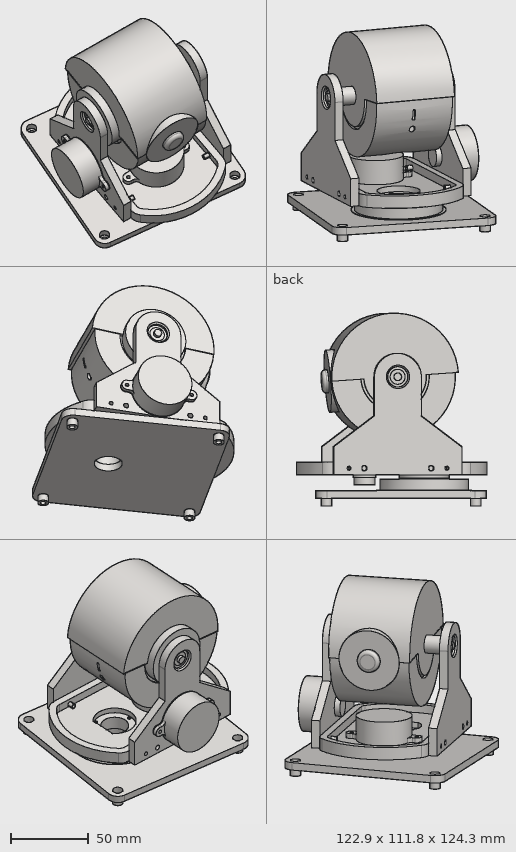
import cadquery as cq
import math

pan_angle = 5.5
tilt_angle = 4.0

plate_size = 110.2
plate_thickness = 5.0
plate_offset = 14.9
plate_corner = 7.3
foot_height = 5.0
foot_diameter = 7.0
foot_spacing = 96.2
screw_hole = 3.6
screw_head = 6.5
screw_head_depth = 5.0

bore = 18.0
flange_diameter = 61.3
flange_thickness = 0.4
hub_diameter = 57.2
hub_top = 17.4
neck_diameter = 32.3
neck_top = 17.9
spigot_diameter = 27.9
spigot_flat = 10.3
spigot_top = 18.9
hub_screw_hole = 2.2
hub_screw_radius = 12.7
hub_screw_depth = 0.6

platform_bottom = 20.0
platform_top = 28.2
platform_x = 21.0
platform_arc = 47.6
platform_arc_offset = 13.9
platform_depth = 72.6
rim = 5.0
pocket_floor = 22.6
outer_corner = 10.0
inner_corner = 5.0

motor_diameter = 36.0
motor_height = 15.9
ear_spacing = 43.5
ear_width = 7.0
ear_thickness = 3.2
ear_blend = 3.1
ear_hole = 2.2
motor_boss = 14.7
motor_boss_length = 4.4
motor_pinion = 13.7
motor_nose_length = 9.0
pan_motor_x = 38.7
tilt_motor_seat = 0.6

bracket_thickness = 5.7
bracket_width = 83.0
bracket_shoulder = 38.3
bracket_neck = 58.2
bracket_head = 15.2
tilt_axis = 83.3
tilt_motor_height = 38.4
bearing_hole = 9.7
bearing_recess = 13.0
bearing_recess_rim = 15.0
bearing_recess_depth = 2.5
bearing_chamfer_depth = 1.0
peg_diameter = 3.4
peg_hole = 2.5
peg_reach = 3.7
peg_spacing = 63.4
dowel_hole = 3.4
dowel_spacing = 43.3
fastener_height = 24.4

barrel_front = -30.7
barrel_back = 23.5
upper_radius = 41.0
lower_radius = 40.0
clearance_radius = 22.1
clearance_depth = 2.5
hub_disc_diameter = 40.5
lower_setback = 0.6
rear_shaft = 11.8
rear_shaft_gap = 1.2
stub_diameter = 5.0
stub_length = 2.0
cable_hole = 23.6
cable_hole_top = -34.8
side_hole = 4.0
side_hole_z = -19.8
slot_length = 7.0
slot_width = 1.7
slot_z = -10.1
side_cut_depth = 2.5

camera_diameter = 40.3
camera_back = 32.3
camera_face = 41.3
lens_diameter = 15.0
lens_front = 45.0
lens_round = 2.5

plate_top = foot_height + plate_thickness
bracket_inner = platform_depth / 2
bracket_outer = bracket_inner + bracket_thickness
front_outer = -bracket_outer
front_inner = -bracket_inner
barrel_middle = (barrel_front + barrel_back) / 2
barrel_length = barrel_back - barrel_front


def cylinder(diameter, bottom, top, x=0, y=0):
    """Upright cylinder between two heights."""
    return cq.Workplane("XY", origin=(x, y, bottom)).circle(diameter / 2).extrude(top - bottom)


def cylinder_y(diameter, start, end, x=0, z=0):
    """Cylinder along Y between two Y positions."""
    return cq.Workplane("XZ", origin=(x, start, z)).circle(diameter / 2).extrude(start - end)


def cylinder_x(diameter, start, end, y=0, z=0):
    """Cylinder along X between two X positions."""
    return cq.Workplane("YZ", origin=(start, y, z)).circle(diameter / 2).extrude(end - start)


def pan(body):
    """Turn a body with the pan axis."""
    return body.rotate((0, 0, 0), (0, 0, 1), pan_angle)


def tilt(body):
    """Put a body of the barrel on the tilted tilt axis, then turn it with the pan axis."""
    turned = body.rotate((0, 0, 0), (0, 1, 0), tilt_angle)
    return pan(turned.translate((platform_x, 0, tilt_axis)))


def make_base_plate():
    centre = (plate_offset, 0)
    plate = (
        cq.Workplane("XY", origin=(*centre, foot_height))
        .rect(plate_size, plate_size)
        .extrude(plate_thickness)
        .edges("|Z")
        .fillet(plate_corner)
    )
    feet = (
        cq.Workplane("XY", origin=(*centre, 0))
        .rect(foot_spacing, foot_spacing, forConstruction=True)
        .vertices()
        .circle(foot_diameter / 2)
        .extrude(foot_height)
    )
    plate = (
        plate.union(feet)
        .faces(">Z")
        .workplane(origin=(*centre, plate_top))
        .rect(foot_spacing, foot_spacing, forConstruction=True)
        .vertices()
        .cboreHole(screw_hole, screw_head, screw_head_depth)
    )
    return plate.cut(cylinder(bore, 0, plate_top))


def d_shape(bottom, top):
    """Round plug on the pan axis with a flat on its -X side."""
    plug = cylinder(spigot_diameter, bottom, top)
    half = cq.Workplane("XY", origin=(-spigot_flat, -spigot_diameter / 2, bottom)).rect(
        2 * spigot_diameter, spigot_diameter, centered=False
    )
    return plug.intersect(half.extrude(top - bottom))


def make_hub():
    hub = (
        cylinder(flange_diameter, plate_top, plate_top + flange_thickness)
        .union(cylinder(hub_diameter, plate_top, hub_top))
        .union(cylinder(neck_diameter, hub_top, neck_top))
        .union(d_shape(neck_top, spigot_top))
        .cut(cylinder(bore, plate_top, spigot_top))
    )
    screws = (
        cq.Workplane("XY", origin=(0, 0, spigot_top))
        .polarArray(hub_screw_radius, 0, 360, 3)
        .circle(hub_screw_hole / 2)
        .extrude(-hub_screw_depth)
    )
    return pan(hub.cut(screws))


def platform_outline(inset, corner, bottom, top):
    """Flat-sided plate with two round ends, drawn in from the outer outline by an inset."""
    height = top - bottom
    radius = platform_arc - inset
    half_depth = platform_depth / 2 - inset
    reach = platform_arc_offset + math.sqrt(radius**2 - half_depth**2)
    tip = platform_arc_offset + radius
    return (
        cq.Workplane("XY", origin=(platform_x, 0, bottom))
        .moveTo(-reach, -half_depth)
        .lineTo(reach, -half_depth)
        .threePointArc((tip, 0), (reach, half_depth))
        .lineTo(-reach, half_depth)
        .threePointArc((-tip, 0), (-reach, -half_depth))
        .close()
        .extrude(height)
        .edges("|Z")
        .fillet(corner)
    )


def fastener_row(diameter, spacing, start, end):
    """Two cylinders along Y, level with the platform and spaced about its centre."""
    left = cylinder_y(diameter, start, end, platform_x - spacing / 2, fastener_height)
    right = cylinder_y(diameter, start, end, platform_x + spacing / 2, fastener_height)
    return left.union(right)


def make_platform():
    platform = (
        platform_outline(0, outer_corner, platform_bottom, platform_top)
        .cut(platform_outline(rim, inner_corner, pocket_floor, platform_top))
        .union(cylinder(neck_diameter, neck_top, platform_bottom))
        .cut(d_shape(neck_top, pocket_floor))
        .cut(cylinder(motor_boss, platform_bottom, pocket_floor, pan_motor_x))
        .cut(fastener_row(peg_diameter, peg_spacing, front_inner, front_inner + rim))
        .cut(fastener_row(peg_diameter, peg_spacing, bracket_inner - rim, bracket_inner))
    )
    return pan(platform)


def make_motor():
    """Motor standing on Z = 0 with its nose pointing down and its ears along Y."""
    can = cylinder(motor_diameter, 0, motor_height)
    slot = (
        cq.Workplane("XY").slot2D(ear_spacing + ear_width, ear_width, 90).extrude(ear_thickness)
    )
    roots = cq.selectors.BoxSelector(
        (-ear_width, -ear_spacing / 2 + ear_width / 4, -1.2),
        (ear_width, ear_spacing / 2 - ear_width / 4, ear_thickness + 1.2),
    )
    ears = cylinder(motor_diameter, 0, ear_thickness).union(slot).edges("|Z").edges(roots)
    ears = ears.fillet(ear_blend)
    ear_holes = (
        cq.Workplane("XY")
        .pushPoints([(0, -ear_spacing / 2), (0, ear_spacing / 2)])
        .circle(ear_hole / 2)
        .extrude(ear_thickness)
    )
    return (
        can.union(ears.cut(ear_holes))
        .union(cylinder(motor_boss, -motor_boss_length, 0))
        .union(cylinder(motor_pinion, -motor_nose_length, 0))
    )


def make_pan_motor():
    return pan(make_motor().translate((pan_motor_x, 0, pocket_floor)))


def make_tilt_motor():
    lying = make_motor().rotate((0, 0, 0), (0, 0, 1), 90).rotate((0, 0, 0), (1, 0, 0), 90)
    return pan(lying.translate((platform_x, front_outer + tilt_motor_seat, tilt_motor_height)))


def make_bracket(side):
    """Upright beside the platform: side is -1 at the front and +1 at the back."""
    outer = side * bracket_outer
    inner = side * bracket_inner
    half = bracket_width / 2
    body = (
        cq.Workplane("XZ", origin=(platform_x, inner, 0))
        .moveTo(-half, platform_bottom)
        .lineTo(half, platform_bottom)
        .lineTo(half, bracket_shoulder)
        .lineTo(bracket_head, bracket_neck)
        .lineTo(bracket_head, tilt_axis)
        .threePointArc((0, tilt_axis + bracket_head), (-bracket_head, tilt_axis))
        .lineTo(-bracket_head, bracket_neck)
        .lineTo(-half, bracket_shoulder)
        .close()
        .extrude(-side * bracket_thickness)
    )
    recess_floor = outer - side * bearing_recess_depth
    cone = (
        cq.Workplane("XZ", origin=(platform_x, outer, tilt_axis))
        .circle(bearing_recess_rim / 2)
        .workplane(offset=side * bearing_chamfer_depth)
        .circle(bearing_recess / 2)
        .loft()
    )
    peg_end = inner - side * (rim + peg_reach)
    return (
        body.cut(cylinder_y(bearing_hole, inner, outer, platform_x, tilt_axis))
        .cut(cylinder_y(bearing_recess, recess_floor, outer, platform_x, tilt_axis))
        .cut(cone)
        .cut(fastener_row(dowel_hole, dowel_spacing, inner, outer))
        .union(fastener_row(peg_diameter, peg_spacing, peg_end, outer))
        .cut(fastener_row(peg_hole, peg_spacing, peg_end, outer))
    )


def make_front_bracket():
    """Front bracket with a seat that matches the tilt motor."""
    return pan(make_bracket(-1)).cut(make_tilt_motor())


def make_back_bracket():
    return pan(make_bracket(1))


def half_barrel(radius, centre_x, upper, setback=0):
    """Upper or lower half of a cylinder along the tilt axis."""
    end_x = centre_x + radius
    crown = radius if upper else -radius
    return (
        cq.Workplane("XZ", origin=(0, barrel_front + setback, 0))
        .moveTo(centre_x - radius, 0)
        .threePointArc((centre_x, crown), (end_x, 0))
        .close()
        .extrude(2 * setback - barrel_length)
    )


def camera_seat():
    return cylinder_x(camera_diameter, camera_back, upper_radius + rim, barrel_middle)


def make_upper_shell():
    """Upper half with the end discs, the rear shaft and the trunnions in the brackets."""
    front_floor = front_outer + bearing_recess_depth
    back_floor = bracket_outer - bearing_recess_depth
    inside_front = barrel_front + clearance_depth
    inside_back = barrel_back - clearance_depth
    shell = (
        half_barrel(upper_radius, 0, True)
        .cut(camera_seat())
        .union(cylinder_y(hub_disc_diameter, inside_front, front_inner))
        .union(cylinder_y(hub_disc_diameter, inside_back, barrel_back))
        .union(cylinder_y(rear_shaft, inside_back, bracket_inner - rear_shaft_gap))
        .union(cylinder_y(bearing_hole, front_inner, front_floor))
        .union(cylinder_y(bearing_hole, inside_back, back_floor))
        .union(cylinder_y(stub_diameter, front_floor, front_floor - stub_length))
        .union(cylinder_y(stub_diameter, back_floor, back_floor + stub_length))
    )
    return tilt(shell)


def make_lower_shell():
    """Lower half, set forward so that both halves are flush on the lens side."""
    skin_x = -lower_radius
    hole_depth_x = -math.sqrt(lower_radius**2 - side_hole_z**2) + side_cut_depth
    slot_depth_x = -math.sqrt(lower_radius**2 - slot_z**2) + side_cut_depth
    clearance = 2 * clearance_radius
    slot = (
        cq.Workplane("YZ", origin=(skin_x, barrel_middle, slot_z))
        .slot2D(slot_length, slot_width, 90)
        .extrude(slot_depth_x - skin_x)
    )
    shell = (
        half_barrel(lower_radius, upper_radius - lower_radius, False, lower_setback)
        .cut(camera_seat())
        .cut(cylinder_y(clearance, barrel_front, barrel_front + clearance_depth))
        .cut(cylinder_y(clearance, barrel_back - clearance_depth, barrel_back))
        .cut(cylinder(cable_hole, -upper_radius, cable_hole_top, 0, barrel_middle))
        .cut(cylinder_x(side_hole, skin_x, hole_depth_x, barrel_middle, side_hole_z))
        .cut(slot)
    )
    return tilt(shell)


def make_camera():
    lens = (
        cylinder_x(lens_diameter, camera_face, lens_front, barrel_middle)
        .faces(">X")
        .edges()
        .fillet(lens_round)
    )
    body = cylinder_x(camera_diameter, camera_back, camera_face, barrel_middle)
    return tilt(body.union(lens))


base_plate = make_base_plate()
hub = make_hub()
platform = make_platform()
pan_motor = make_pan_motor()
front_bracket = make_front_bracket()
back_bracket = make_back_bracket()
tilt_motor = make_tilt_motor()
upper_shell = make_upper_shell()
lower_shell = make_lower_shell()
camera = make_camera()

result = cq.Compound.makeCompound(
    [
        base_plate.val(),
        hub.val(),
        platform.val(),
        pan_motor.val(),
        front_bracket.val(),
        back_bracket.val(),
        tilt_motor.val(),
        upper_shell.val(),
        lower_shell.val(),
        camera.val(),
    ]
)